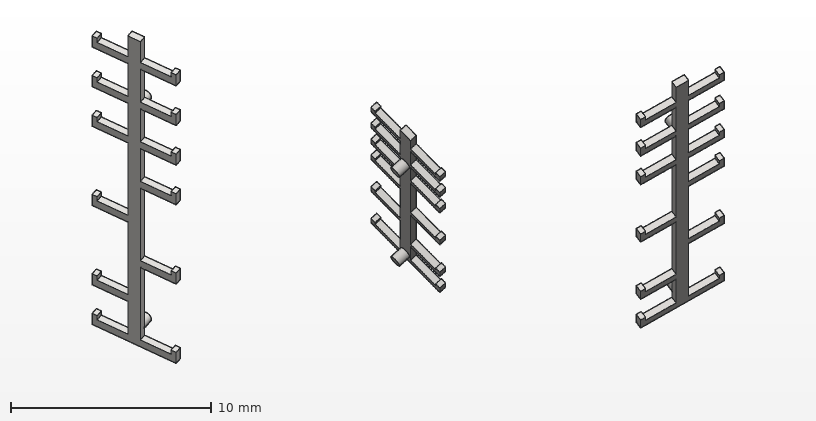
import cadquery as cq

post_height = 22.0
post_width = 0.75
thickness = 0.4

overall_width = 5.0
arm_height = 0.5
hook_width = 0.3
hook_height = 0.8
top_arm_z = 20.0
LEFT = -1
RIGHT = 1
BOTH = (LEFT, RIGHT)
arm_sides = [BOTH, (LEFT,), (RIGHT,), (LEFT,), (RIGHT,), BOTH, BOTH, BOTH]
arm_pitch = top_arm_z / (len(arm_sides) - 1)

pin_diameter = 0.65
pin_length = 0.7
pin_heights = (1.0, 17.0)


def make_post():
    return cq.Workplane("XY").box(post_width, thickness, post_height, centered=(True, False, False))


def make_arm(side, base_z):
    """One L-shaped arm from the post centreline out to the given side."""
    tip_x = side * overall_width / 2
    hook_x = side * (overall_width / 2 - hook_width)
    outline = [
        (0, base_z),
        (tip_x, base_z),
        (tip_x, base_z + hook_height),
        (hook_x, base_z + hook_height),
        (hook_x, base_z + arm_height),
        (0, base_z + arm_height),
    ]
    return cq.Workplane("XZ").polyline(outline).close().extrude(-thickness)


def make_pin(height):
    """Round pin standing out of the back face of the post."""
    return (
        cq.Workplane("XZ")
        .center(0, height)
        .circle(pin_diameter / 2)
        .extrude(-pin_length)
        .translate((0, thickness, 0))
    )


result = make_post()
for level, sides in enumerate(arm_sides):
    for side in sides:
        result = result.union(make_arm(side, level * arm_pitch))
for pin_height in pin_heights:
    result = result.union(make_pin(pin_height))